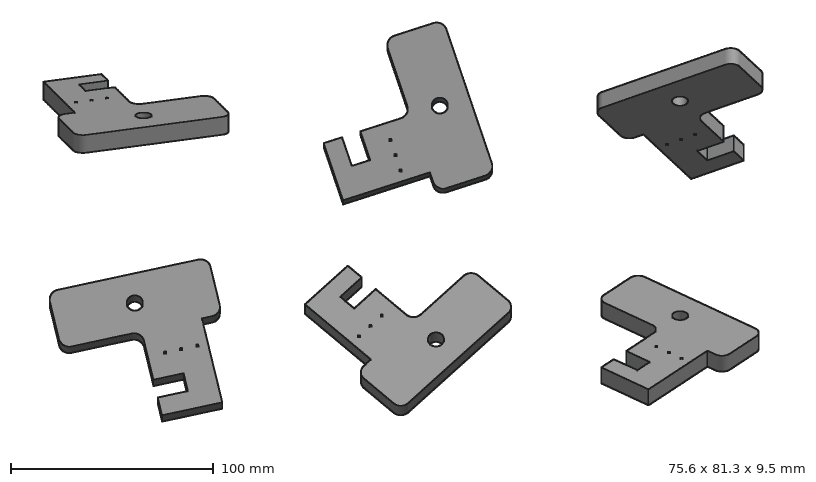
import cadquery as cq

total_width = 75.6
plate_length = 81.3
thickness = 9.5
plate_width = 30.5
corner_radius = 5.1

arm_bottom = 10.2
arm_top = plate_length / 2
arm_length = total_width - plate_width

slot_start = 9.6
slot_width = 9.5
slot_depth = 15.3

main_hole_diameter = 8.0
pin_hole_diameter = 1.2
pin_hole_x = 31.7
pin_hole_middle_y = 23.7
pin_hole_pitch = 8.1


def block(x, y, width, length):
    """Full-thickness block with its lower corner at (x, y)."""
    return cq.Workplane("XY").box(width, length, thickness, centered=False).translate((x, y, 0))


def through_hole(x, y, diameter):
    """Cylinder that cuts through the thickness at (x, y)."""
    return cq.Workplane("XY").center(x, y).circle(diameter / 2).extrude(thickness)


plate = block(arm_length, 0, plate_width, plate_length).edges("|Z").fillet(corner_radius)
arm = block(0, arm_bottom, arm_length + plate_width / 2, arm_top - arm_bottom)
body = plate.union(arm)

inner_corner = cq.selectors.NearestToPointSelector((arm_length, arm_top, thickness / 2))
body = body.edges("|Z").edges(inner_corner).fillet(corner_radius)

body = body.cut(block(slot_start, arm_top - slot_depth, slot_width, slot_depth))

body = body.cut(through_hole(arm_length + plate_width / 2, plate_length / 2, main_hole_diameter))

for step in (-1, 0, 1):
    pin_hole_y = pin_hole_middle_y + step * pin_hole_pitch
    body = body.cut(through_hole(pin_hole_x, pin_hole_y, pin_hole_diameter))

result = body